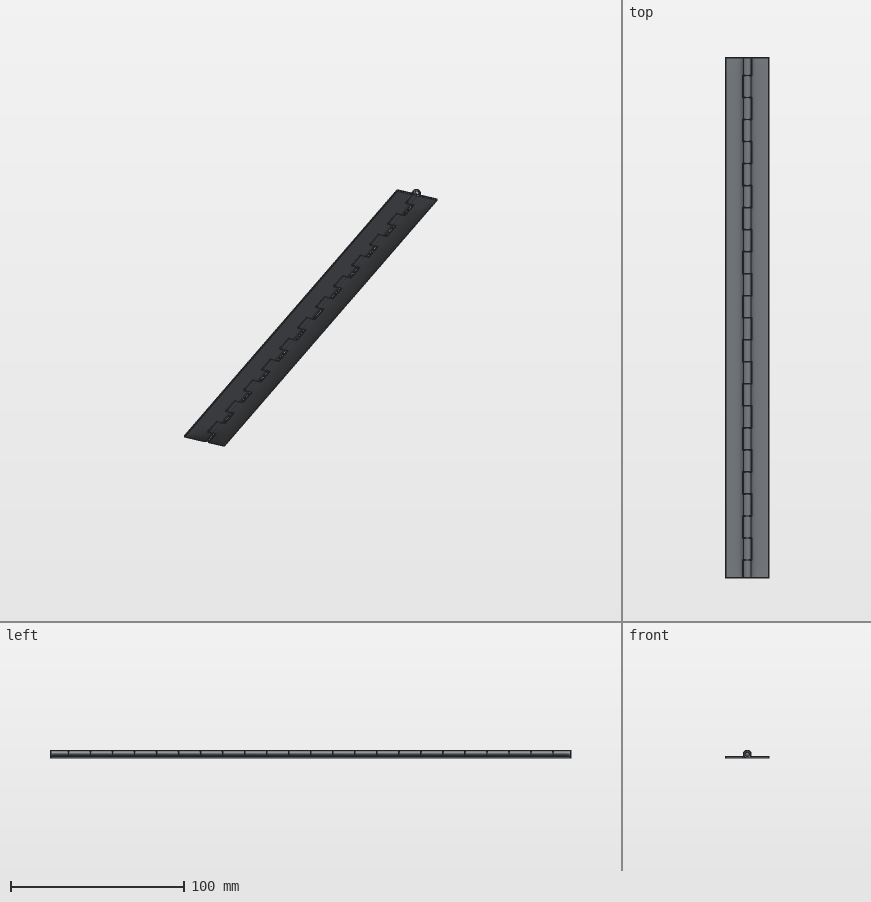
import cadquery as cq

OPEN_WIDTH = 25.0
LENGTH = 300.0

SHEET = 1.0
PIN_DIAMETER = 2.4
PIN_RADIUS = PIN_DIAMETER / 2
KNUCKLE_RADIUS = PIN_RADIUS + SHEET
PIN_HEIGHT = KNUCKLE_RADIUS

KNUCKLE_PITCH = 12.7
FULL_KNUCKLES = 22
END_KNUCKLE = (LENGTH - FULL_KNUCKLES * KNUCKLE_PITCH) / 2
KNUCKLE_COUNT = FULL_KNUCKLES + 2
KNUCKLE_GAP = 0.2

NOTCH_CLEARANCE = 0.5
NOTCH_EDGE = KNUCKLE_RADIUS + NOTCH_CLEARANCE


def knuckle_joint(index):
    """Y of the joint before the knuckle with this index, counted from the -Y end."""
    if index == 0:
        return -LENGTH / 2
    if index == KNUCKLE_COUNT:
        return LENGTH / 2
    return -LENGTH / 2 + END_KNUCKLE + (index - 1) * KNUCKLE_PITCH


def knuckle_span(index):
    """Start and end Y of a knuckle, with half a gap taken off at each inner joint."""
    start = knuckle_joint(index)
    end = knuckle_joint(index + 1)
    if index > 0:
        start += KNUCKLE_GAP / 2
    if index < KNUCKLE_COUNT - 1:
        end -= KNUCKLE_GAP / 2
    return start, end


def rod_along_pin(radius, start, end):
    """Cylinder on the pin axis from one Y to another."""
    section = cq.Workplane("XZ", origin=(0, start, PIN_HEIGHT)).circle(radius)
    return section.extrude(start - end)


def sheet_strip(inner_x, outer_x, start, end):
    """Flat piece of leaf sheet between two X and two Y positions."""
    size = (outer_x - inner_x, end - start, SHEET)
    return cq.Workplane("XY").box(*size, centered=False).translate((inner_x, start, 0))


def make_knuckle(start, end):
    """Tube around the pin, with a tongue of sheet running in under it."""
    tongue = sheet_strip(0, NOTCH_EDGE, start, end)
    tube = rod_along_pin(KNUCKLE_RADIUS, start, end)
    return tongue.union(tube).cut(rod_along_pin(PIN_RADIUS, start, end))


def make_leaf():
    """The +X leaf: a flat plate with every second knuckle, starting at the -Y end."""
    leaf = sheet_strip(NOTCH_EDGE, OPEN_WIDTH / 2, -LENGTH / 2, LENGTH / 2)
    for index in range(0, KNUCKLE_COUNT, 2):
        leaf = leaf.union(make_knuckle(*knuckle_span(index)))
    return leaf


def make_pin():
    """Plain rod as long as the hinge."""
    return rod_along_pin(PIN_RADIUS, -LENGTH / 2, LENGTH / 2)


leaves = [make_leaf().rotate((0, 0, 0), (0, 0, 1), turn) for turn in (0, 180)]
pin = make_pin()

result = cq.Compound.makeCompound([*(leaf.val() for leaf in leaves), pin.val()])